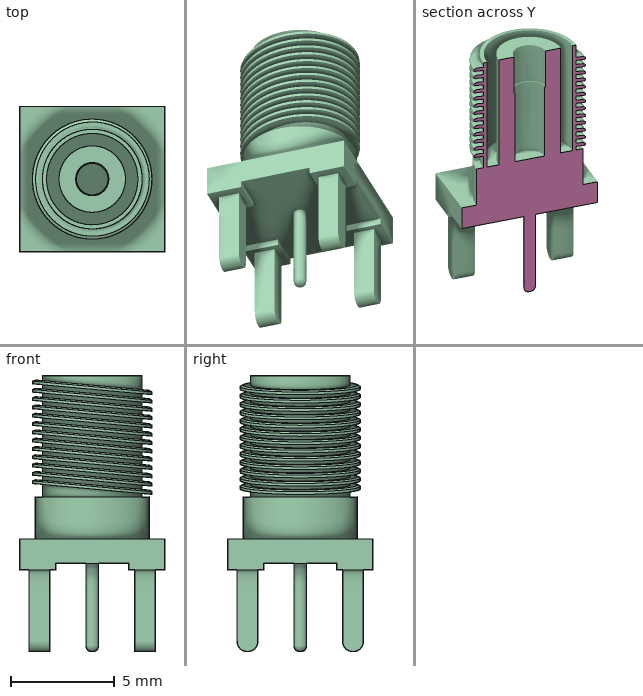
import cadquery as cq

flange_side = 7.0
flange_thickness = 1.5
relief_width = 3.5
relief_depth = 0.32

shoulder_diameter = 5.5
shoulder_height = 2.01
barrel_diameter = 4.8
barrel_length = 5.85
bore_diameter = 4.4
insert_diameter = 3.2
socket_entry_diameter = 1.6
socket_diameter = 1.52
socket_entry_depth = 2.0

ring_count = 13
ring_pitch = 0.4
ring_tilt = 5.2
ring_outer_diameter = 5.78
ring_crest_diameter = 5.5
ring_thickness = 0.2
ring_chamfer_height = 0.07
top_ring_drop = 0.56

leg_length = 3.93
leg_width = 1.01
leg_spacing = 5.08
leg_tip_radius = 0.49
pin_diameter = 0.61
pin_tip_radius = 0.27

shoulder_top = flange_thickness + shoulder_height
rim_height = shoulder_top + barrel_length


def disc(diameter, bottom, top):
    """Upright cylinder on the Z axis between two heights."""
    return cq.Workplane("XY").workplane(offset=bottom).circle(diameter / 2).extrude(top - bottom)


def make_flange():
    """Square flange whose relief leaves a pad at each corner."""
    flange = cq.Workplane("XY").box(
        flange_side, flange_side, flange_thickness, centered=(True, True, False)
    )
    for size_x, size_y in ((flange_side, relief_width), (relief_width, flange_side)):
        relief = cq.Workplane("XY").box(size_x, size_y, relief_depth, centered=(True, True, False))
        flange = flange.cut(relief)
    return flange


def make_barrel():
    """Shoulder and barrel with an annular bore around a flush, hollow insert."""
    shoulder = disc(shoulder_diameter, flange_thickness, shoulder_top)
    barrel = disc(barrel_diameter, shoulder_top, rim_height)
    bore = disc(bore_diameter, shoulder_top, rim_height)
    insert = disc(insert_diameter, shoulder_top, rim_height)
    socket = disc(socket_diameter, shoulder_top, rim_height)
    socket_entry = disc(socket_entry_diameter, rim_height - socket_entry_depth, rim_height)
    body = shoulder.union(barrel)
    return body.cut(bore.cut(insert)).cut(socket).cut(socket_entry)


def make_ring(middle_height):
    """One thread ring with a chamfered upper edge, sunk into the barrel wall."""
    inner_radius = (bore_diameter + barrel_diameter) / 4
    half_thickness = ring_thickness / 2
    return (
        cq.Workplane("XZ")
        .moveTo(inner_radius, -half_thickness)
        .lineTo(ring_outer_diameter / 2, -half_thickness)
        .lineTo(ring_outer_diameter / 2, half_thickness - ring_chamfer_height)
        .lineTo(ring_crest_diameter / 2, half_thickness)
        .lineTo(inner_radius, half_thickness)
        .close()
        .revolve(360, (0, 0, 0), (0, 1, 0))
        .rotate((0, 0, 0), (0, 1, 0), ring_tilt)
        .translate((0, 0, middle_height))
    )


def make_legs():
    """Four square legs with tips rounded across Y."""
    return (
        cq.Workplane("XY")
        .workplane(offset=-leg_length)
        .rect(leg_spacing, leg_spacing, forConstruction=True)
        .vertices()
        .rect(leg_width, leg_width)
        .extrude(leg_length)
        .faces("<Z")
        .edges("|X")
        .fillet(leg_tip_radius)
    )


def make_pin():
    """Contact pin with a rounded tip, reaching up to the relief."""
    pin = disc(pin_diameter, -leg_length, relief_depth)
    return pin.faces("<Z").edges().fillet(pin_tip_radius)


result = make_flange().union(make_barrel())
for index in range(ring_count):
    result = result.union(make_ring(rim_height - top_ring_drop - index * ring_pitch))
result = result.union(make_legs()).union(make_pin())